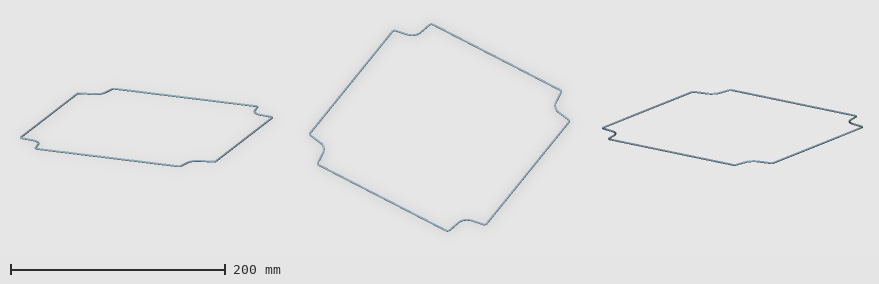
import cadquery as cq
import math

overall_size = 197.3
cord_diameter = 1.8
notch_vertex = 76.4
flank_angle = 10.0
notch_radius = 11.2
tip_radius = 2.8

side_offset = (overall_size - cord_diameter) / 2
flank_depth = side_offset - notch_vertex
tip_vertex = notch_vertex - flank_depth * math.tan(math.radians(flank_angle))


def rotate_quarters(point, quarters):
    """Turn a point about the ring centre by a number of counterclockwise right angles."""
    x, y = point
    for _ in range(quarters):
        x, y = -y, x
    return x, y


def rounded_path(corners):
    """Closed wire through (point, radius) corners, each corner rounded by a tangent arc."""
    arcs = []
    count = len(corners)
    for index, (point, radius) in enumerate(corners):
        vertex = cq.Vector(*point)
        to_previous = (cq.Vector(*corners[index - 1][0]) - vertex).normalized()
        to_next = (cq.Vector(*corners[(index + 1) % count][0]) - vertex).normalized()
        half_angle = to_previous.getAngle(to_next) / 2
        tangent_length = radius / math.tan(half_angle)
        vertex_to_arc = radius / math.sin(half_angle) - radius
        bisector = (to_previous + to_next).normalized()
        start = vertex + to_previous * tangent_length
        middle = vertex + bisector * vertex_to_arc
        end = vertex + to_next * tangent_length
        arcs.append((start, middle, end))
    edges = []
    for index, (start, middle, end) in enumerate(arcs):
        edges.append(cq.Edge.makeLine(arcs[index - 1][2], start))
        edges.append(cq.Edge.makeThreePointArc(start, middle, end))
    return cq.Wire.assembleEdges(edges)


notch_corners = [
    ((side_offset, tip_vertex), tip_radius),
    ((notch_vertex, notch_vertex), notch_radius),
    ((tip_vertex, side_offset), tip_radius),
]

ring_corners = [
    (rotate_quarters(point, quarters), radius)
    for quarters in range(4)
    for point, radius in notch_corners
]
centreline = rounded_path(ring_corners)

section_plane = cq.Plane(origin=centreline.startPoint(), xDir=(0, 0, 1), normal=(0, 1, 0))
result = (
    cq.Workplane(section_plane)
    .circle(cord_diameter / 2)
    .sweep(cq.Workplane(obj=centreline))
)